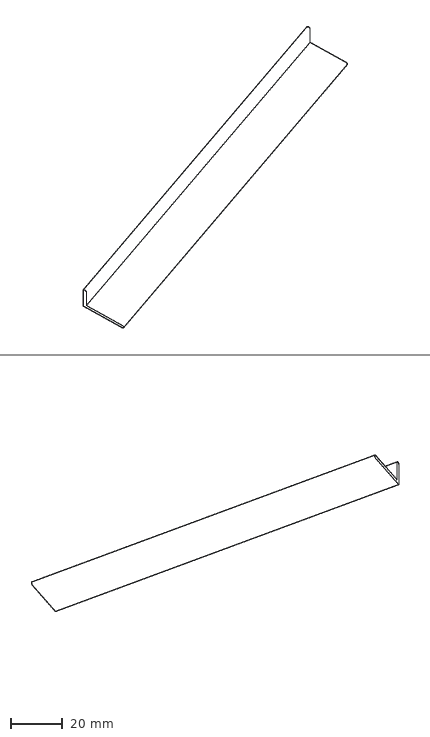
import cadquery as cq

length = 152.4
base_width = 19.0
wall_height = 11.1
outer_corner_radius = 0.52

tip_radius = 0.8
thickness = 2 * tip_radius
base_tip_start = base_width - tip_radius
wall_tip_start = wall_height - tip_radius


def angle_profile():
    """L-shaped section in the XZ plane, with its outer corner at the origin."""
    return (
        cq.Workplane("XZ")
        .moveTo(outer_corner_radius, 0)
        .lineTo(base_tip_start, 0)
        .threePointArc((base_width, tip_radius), (base_tip_start, thickness))
        .lineTo(thickness, thickness)
        .lineTo(thickness, wall_tip_start)
        .threePointArc((tip_radius, wall_height), (0, wall_tip_start))
        .lineTo(0, outer_corner_radius)
        .radiusArc((outer_corner_radius, 0), -outer_corner_radius)
        .close()
    )


result = angle_profile().extrude(length / 2, both=True)